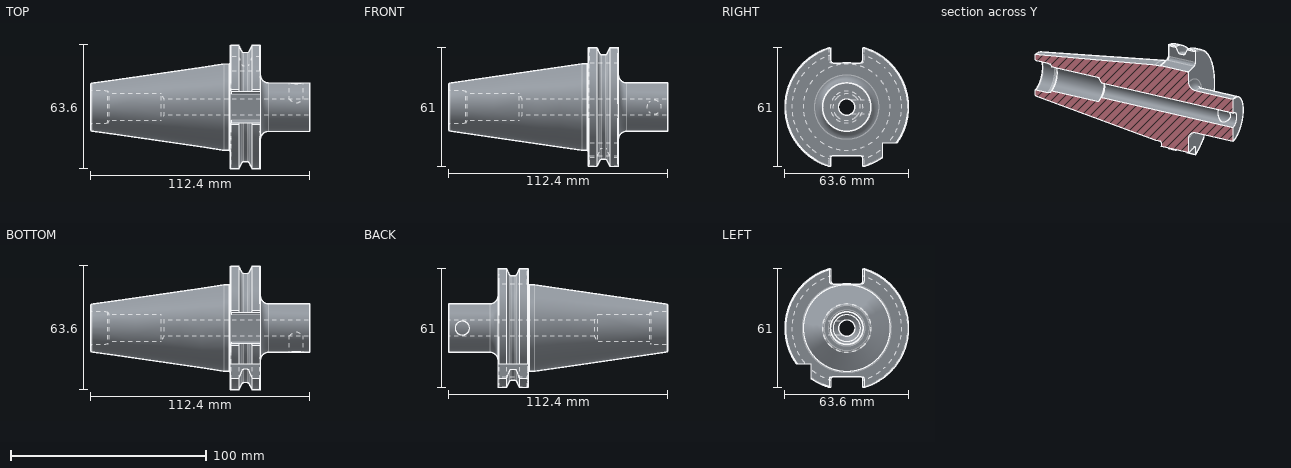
import cadquery as cq
import math

taper_length = 68.25
flange_front = 3.2
flange_width = 15.7
flange_rear = flange_front + flange_width
nose_length = 25.2
nose_end = flange_rear + nose_length

gauge_radius = 44.45 / 2
taper_rate = 7 / 24
small_radius = gauge_radius - taper_length * taper_rate / 2
small_end_fillet = 0.8
neck_fillet = 0.6
flange_radius = 63.55 / 2
flange_edge_fillet = 0.5
nose_radius = 25.0 / 2
nose_root_fillet = 4.0
nose_end_chamfer = 0.2

groove_center = 11.1
groove_floor_radius = 56.1 / 2
groove_half_angle = math.radians(27)
groove_mouth_width = 6.85
groove_corner_fillet = 0.9

pilot_radius = 17.0 / 2
pilot_mouth_fillet = 0.8
pilot_depth = 7.2
relief_radius = 16.5 / 2
relief_taper_length = 0.8
relief_length = 0.7
thread_radius = 13.85 / 2
thread_depth = 36.0
through_radius = 8.25 / 2
drill_half_angle = math.radians(59)
thread_lead_half_angle = math.radians(60)

slot_half_width = 16.1 / 2
upper_slot_floor = 22.55
lower_slot_floor = 25.0
upper_slot_fillet = 1.5
lower_slot_fillet = 1.0
slot_bevel_width = 0.9
outer_bevel_depth = 0.5
front_bevel_depth = 0.7

notch_y = 18.45
notch_z = -18.45

screw_radius = 7.2 / 2
screw_end_distance = 7.0
screw_x = nose_end - screw_end_distance


def make_blank():
    """Taper, flange and nose turned about the X axis."""
    groove_depth = flange_radius - groove_floor_radius
    mouth_half = groove_mouth_width / 2
    floor_half = mouth_half - groove_depth * math.tan(groove_half_angle)
    outline = (
        cq.Workplane("XZ")
        .moveTo(-taper_length, 0)
        .lineTo(-taper_length, small_radius)
        .lineTo(0, gauge_radius)
        .lineTo(flange_front - neck_fillet, gauge_radius)
        .radiusArc((flange_front, gauge_radius + neck_fillet), -neck_fillet)
        .lineTo(flange_front, flange_radius)
        .lineTo(groove_center - mouth_half, flange_radius)
        .lineTo(groove_center - floor_half, groove_floor_radius)
        .lineTo(groove_center + floor_half, groove_floor_radius)
        .lineTo(groove_center + mouth_half, flange_radius)
        .lineTo(flange_rear, flange_radius)
        .lineTo(flange_rear, nose_radius + nose_root_fillet)
        .radiusArc((flange_rear + nose_root_fillet, nose_radius), -nose_root_fillet)
        .lineTo(nose_end, nose_radius)
        .lineTo(nose_end, 0)
        .close()
    )
    blank = outline.revolve(360, (0, 0, 0), (1, 0, 0))
    blank = blank.edges(circle_at(-taper_length, small_radius)).fillet(small_end_fillet)
    for rim_x in (flange_front, flange_rear):
        blank = blank.edges(circle_at(rim_x, flange_radius)).fillet(flange_edge_fillet)
    for floor_x in (groove_center - floor_half, groove_center + floor_half):
        blank = blank.edges(circle_at(floor_x, groove_floor_radius)).fillet(groove_corner_fillet)
    return blank.edges(circle_at(nose_end, nose_radius)).chamfer(nose_end_chamfer)


def circle_at(x, radius):
    """Selector for the circular edge about the X axis at a given place and radius."""
    slack = 0.01
    reach = radius + slack
    inside = radius - slack
    return cq.selectors.BoxSelector(
        (x - slack, -reach, -reach), (x + slack, reach, reach), boundingbox=True
    ) - cq.selectors.BoxSelector(
        (x - slack, -inside, -inside),
        (x + slack, inside, inside),
        boundingbox=True,
    )


def make_bore():
    """Pilot bore, thread hole with drill point and through hole, as one turned cutter."""
    mouth = -taper_length
    pilot_end = mouth + pilot_depth
    relief_start = pilot_end + relief_taper_length
    relief_end = relief_start + relief_length
    lead_end = relief_end + (relief_radius - thread_radius) / math.tan(thread_lead_half_angle)
    thread_end = mouth + thread_depth
    drill_end = thread_end + (thread_radius - through_radius) / math.tan(drill_half_angle)
    return (
        cq.Workplane("XZ")
        .moveTo(mouth, 0)
        .lineTo(mouth, pilot_radius + pilot_mouth_fillet)
        .radiusArc((mouth + pilot_mouth_fillet, pilot_radius), -pilot_mouth_fillet)
        .lineTo(pilot_end, pilot_radius)
        .lineTo(relief_start, relief_radius)
        .lineTo(relief_end, relief_radius)
        .lineTo(lead_end, thread_radius)
        .lineTo(thread_end, thread_radius)
        .lineTo(drill_end, through_radius)
        .lineTo(nose_end, through_radius)
        .lineTo(nose_end, 0)
        .close()
        .revolve(360, (0, 0, 0), (1, 0, 0))
    )


def slot_outline(x, half_width, height, corner_fillet):
    """Closed wire across X: a slot section with its floor at Z = 0 and rounded floor corners."""
    return (
        cq.Workplane("YZ", origin=(x, 0, 0))
        .moveTo(-half_width, height)
        .lineTo(-half_width, corner_fillet)
        .radiusArc((-half_width + corner_fillet, 0), -corner_fillet)
        .lineTo(half_width - corner_fillet, 0)
        .radiusArc((half_width, corner_fillet), -corner_fillet)
        .lineTo(half_width, height)
        .close()
    )


def make_slot(floor, corner_fillet):
    """Cutter for a drive slot on the +Z side, with bevels on its front and outer edges."""
    height = flange_radius - floor
    bevel_half_width = slot_half_width + slot_bevel_width
    slot = slot_outline(flange_front, slot_half_width, height, corner_fillet).extrude(flange_width)
    front_bevel = cq.Workplane(
        cq.Solid.makeLoft(
            [
                slot_outline(flange_front, bevel_half_width, height, corner_fillet).val(),
                slot_outline(
                    flange_front + front_bevel_depth, slot_half_width, height, corner_fillet
                ).val(),
            ],
            True,
        )
    )
    outer_corner = math.sqrt(flange_radius**2 - bevel_half_width**2)
    inner_corner = math.sqrt(flange_radius**2 - slot_half_width**2) - outer_bevel_depth
    outer_bevel = (
        cq.Workplane("YZ", origin=(flange_front, 0, 0))
        .moveTo(-slot_half_width, inner_corner)
        .lineTo(slot_half_width, inner_corner)
        .lineTo(bevel_half_width, outer_corner)
        .lineTo(bevel_half_width, flange_radius)
        .lineTo(-bevel_half_width, flange_radius)
        .lineTo(-bevel_half_width, outer_corner)
        .close()
        .extrude(flange_width)
    )
    return slot.union(front_bevel).translate((0, 0, floor)).union(outer_bevel)


def make_notch():
    """Square-cornered cutter for the orientation notch on the +Y, -Z side of the rim."""
    return (
        cq.Workplane("XY")
        .box(flange_width, flange_radius, flange_radius, centered=False)
        .translate((flange_front, notch_y, notch_z - flange_radius))
    )


def make_screw_rod():
    """Round rod along +Y from the axis outwards, crossing the nose wall."""
    return cq.Workplane("XZ", origin=(screw_x, 0, 0)).circle(screw_radius).extrude(-nose_radius)


def make_screw():
    """Clamping screw filling the wall between the bore and the nose surface."""
    wall = (
        cq.Workplane("YZ", origin=(flange_rear, 0, 0))
        .circle(nose_radius)
        .circle(through_radius)
        .extrude(nose_length)
    )
    return make_screw_rod().intersect(wall)


upper_slot = make_slot(upper_slot_floor, upper_slot_fillet)
lower_slot = make_slot(lower_slot_floor, lower_slot_fillet).rotate((0, 0, 0), (1, 0, 0), 180)

holder = (
    make_blank()
    .cut(make_bore())
    .cut(upper_slot)
    .cut(lower_slot)
    .cut(make_notch())
    .cut(make_screw_rod())
)
screw = make_screw()

result = cq.Compound.makeCompound([holder.val(), screw.val()])